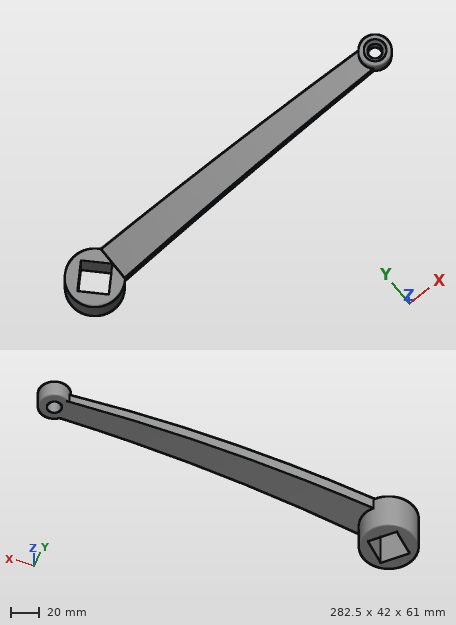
import cadquery as cq

LENGTH = 282.5
HEIGHT = 61.0

HUB_DIAMETER = 42.0
HUB_HEIGHT = 30.8
SOCKET_SIDE = 22.0
SOCKET_ANGLE = 45

BOSS_DIAMETER = 23.5
BOSS_HEIGHT = 14.7
HOLE_DIAMETER = 10.5
COUNTERSINK_DIAMETER = 15.8
COUNTERSINK_ANGLE = 90

RIM_RADIUS = 1.5

ARM_HUB_WIDTH = 26.5
ARM_BOSS_WIDTH = 16.5
ARM_BOSS_THICKNESS = 7.5
ARM_HUB_THICKNESS = 10.5
ARM_BOSS_END_X = 259.0
ARM_START_X = 37.0
ARM_RISE = 0.3
ARM_START_Z = HUB_HEIGHT + ARM_RISE
ARM_STEP = 1.5
ARM_MID_X = 141.2
ARM_MID_TOP_Z = 48.5
ARM_MID_BOTTOM_Z = 38.5

HUB_X = HUB_DIAMETER / 2
BOSS_X = LENGTH - BOSS_DIAMETER / 2
BOSS_BASE_Z = HEIGHT - BOSS_HEIGHT


def rounded_cylinder(diameter, height, x, z):
    """Upright cylinder based at height z, rounded on both rims."""
    cylinder = cq.Workplane("XY", origin=(x, 0, z)).circle(diameter / 2).extrude(height)
    return cylinder.edges("%CIRCLE").fillet(RIM_RADIUS)


def arm_side_profile():
    """Side profile of the arm, extruded to the full width of the hub end."""
    boss_top_z = BOSS_BASE_Z + ARM_BOSS_THICKNESS
    hub_bottom_z = HUB_HEIGHT - ARM_HUB_THICKNESS
    return (
        cq.Workplane("XZ")
        .moveTo(ARM_START_X, ARM_START_Z)
        .lineTo(ARM_START_X + ARM_STEP, ARM_START_Z)
        .threePointArc((ARM_MID_X, ARM_MID_TOP_Z), (ARM_BOSS_END_X, boss_top_z))
        .lineTo(BOSS_X, boss_top_z)
        .lineTo(BOSS_X, BOSS_BASE_Z)
        .lineTo(ARM_BOSS_END_X, BOSS_BASE_Z)
        .threePointArc((ARM_MID_X, ARM_MID_BOTTOM_Z), (ARM_START_X, hub_bottom_z))
        .close()
        .extrude(ARM_HUB_WIDTH / 2, both=True)
    )


def arm_plan():
    """Tapered plan outline running from the hub to the boss axis."""
    hub_half = ARM_HUB_WIDTH / 2
    boss_half = ARM_BOSS_WIDTH / 2
    return (
        cq.Workplane("XY")
        .polyline([
            (ARM_START_X, -hub_half),
            (BOSS_X, -boss_half),
            (BOSS_X, boss_half),
            (ARM_START_X, hub_half),
        ])
        .close()
        .extrude(HEIGHT)
    )


hub = rounded_cylinder(HUB_DIAMETER, HUB_HEIGHT, HUB_X, 0)
boss = rounded_cylinder(BOSS_DIAMETER, BOSS_HEIGHT, BOSS_X, BOSS_BASE_Z)
arm = arm_side_profile().intersect(arm_plan())

socket = (
    cq.Workplane("XY")
    .transformed(offset=(HUB_X, 0, 0), rotate=(0, 0, SOCKET_ANGLE))
    .rect(SOCKET_SIDE, SOCKET_SIDE)
    .extrude(HUB_HEIGHT)
)

body = hub.union(arm).union(boss).cut(socket)

result = (
    body.copyWorkplane(cq.Workplane("XY", origin=(BOSS_X, 0, HEIGHT)))
    .cskHole(HOLE_DIAMETER, COUNTERSINK_DIAMETER, COUNTERSINK_ANGLE)
)